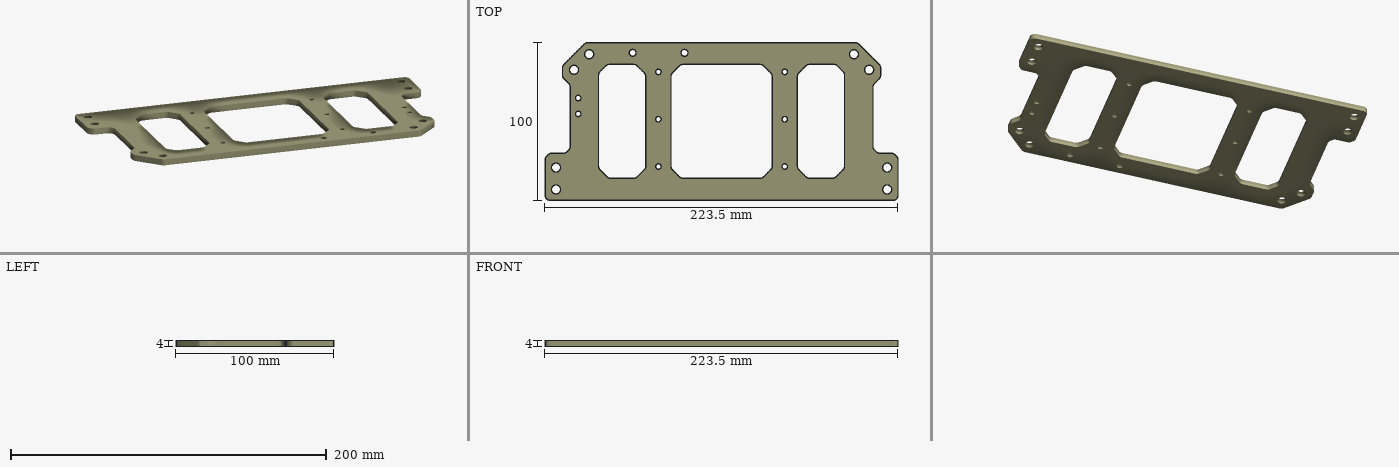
import cadquery as cq

plate_length = 223.5
plate_width = 100.0
plate_thickness = 4.0

tab_half = plate_length / 2
waist_half = 96.0
ear_half = 100.8

tab_height = 30.0
ear_top_chamfer = 14.8
ear_base_y = 78.0
tab_chamfer = 3.0
foot_fillet = 3.1
bend_fillet = 3.4
window_fillet = 3.1

window_bottom = 14.0
window_top = 86.0
centre_window_half = 32.0
side_window_inner = 48.0
side_window_outer = 77.8
window_chamfer = 6.3
tight_chamfer = 5.4

mount_diameter = 5.5
tab_hole_x = 104.9
tab_holes_y = (7.0, 20.8)
ear_holes = ((83.8, 92.5), (93.5, 82.7))

edge_hole_diameter = 4.2
edge_holes = ((-56.3, 93.5), (-23.5, 93.5))

small_diameter = 3.4
rail_hole_x = 40.0
rail_hole_middle_y = 51.5
rail_hole_pitch = 30.0
waist_holes = ((-90.8, 64.8), (-90.8, 54.8))


def mirrored(points):
    """Return the points followed by their mirror images across X = 0."""
    return list(points) + [(-x, y) for x, y in points]


def vertical_edges_at(body, points):
    """Select the vertical edges that pass through the given (x, y) points."""
    edges = body.edges("|Z")
    tolerance = 0.02

    def on_a_point(edge):
        centre = edge.Center()
        return any(
            abs(centre.x - x) < tolerance and abs(centre.y - y) < tolerance
            for x, y in points
        )

    return edges.filter(on_a_point)


def make_plate():
    """Symmetric plate with two bottom tabs and two chamfered top ears."""
    ear_step = ear_half - waist_half
    foot = (tab_half, 0)
    bends = [
        (tab_half, tab_height - tab_chamfer),
        (tab_half - tab_chamfer, tab_height),
        (waist_half + tab_chamfer, tab_height),
        (waist_half, tab_height + tab_chamfer),
        (waist_half, ear_base_y - ear_step),
        (ear_half, ear_base_y),
        (ear_half, plate_width - ear_top_chamfer),
        (ear_half - ear_top_chamfer, plate_width),
    ]
    right_side = [foot] + bends
    left_side = [(-x, y) for x, y in reversed(right_side)]
    plate = cq.Workplane("XY").polyline(right_side + left_side).close().extrude(plate_thickness)
    plate = vertical_edges_at(plate, mirrored([foot])).fillet(foot_fillet)
    return vertical_edges_at(plate, mirrored(bends)).fillet(bend_fillet)


def window(left, right, top_left=window_chamfer, top_right=window_chamfer):
    """Cutter for a window with chamfered corners, rounded at every bend."""
    points = [
        (left + window_chamfer, window_bottom),
        (right - window_chamfer, window_bottom),
        (right, window_bottom + window_chamfer),
        (right, window_top - top_right),
        (right - top_right, window_top),
        (left + top_left, window_top),
        (left, window_top - top_left),
        (left, window_bottom + window_chamfer),
    ]
    cutter = cq.Workplane("XY").polyline(points).close().extrude(plate_thickness)
    return cutter.edges("|Z").fillet(window_fillet)


def holes(points, diameter):
    """Cutter for a set of equal through holes."""
    return cq.Workplane("XY").pushPoints(points).circle(diameter / 2).extrude(plate_thickness)


result = make_plate()

result = result.cut(window(-centre_window_half, centre_window_half))
result = result.cut(window(-side_window_outer, -side_window_inner, top_left=tight_chamfer))
result = result.cut(window(side_window_inner, side_window_outer, top_right=tight_chamfer))

tab_holes = [(tab_hole_x, y) for y in tab_holes_y]
result = result.cut(holes(mirrored(tab_holes), mount_diameter))
result = result.cut(holes(mirrored(ear_holes), mount_diameter))

rail_holes = [(rail_hole_x, rail_hole_middle_y + row * rail_hole_pitch) for row in (-1, 0, 1)]
result = result.cut(holes(mirrored(rail_holes), small_diameter))

result = result.cut(holes(edge_holes, edge_hole_diameter))
result = result.cut(holes(waist_holes, small_diameter))